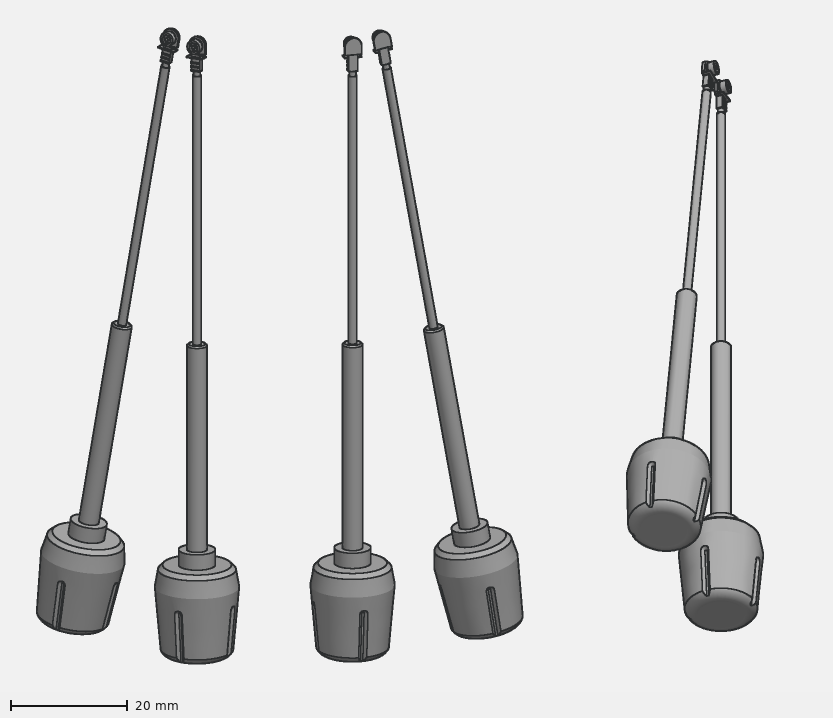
import cadquery as cq
import math


cap_floor_radius = 4.0
cap_base_radius = 6.25
cap_base_height = 1.2
cap_edge_radius = 5.65
cap_edge_height = 0.45
cap_widest_radius = 7.25
cap_widest_height = 12.4
cap_shoulder_radius = 6.7
cap_shoulder_height = 15.5
cap_shoulder_round = 0.8
collar_radius = 3.15
cap_top_height = cap_shoulder_height + cap_shoulder_round
collar_height = 2.75
collar_top = cap_top_height + collar_height

groove_count = 4
groove_width = 1.7
groove_floor_width = 0.4
groove_depth = 0.6
groove_clearance = 0.1
groove_top = 10.0

sleeve_diameter = 3.5
sleeve_top = 55.9
sleeve_chamfer = 0.3
cable_diameter = 1.5
cable_top = 104.0

neck_diameter = 1.2
neck_length = 0.9
tail_width = 1.6
tail_back = 0.5
tail_front = -0.7
crimp_bottom = cable_top + neck_length
wing_width = 3.0
wing_front = -1.1
wing_thickness = 0.15
head_diameter = 3.0
head_back = 0.6
head_front = -1.4
head_center = 109.4
head_bottom = head_center - head_diameter / 2
wing_center = head_bottom - 0.5
waist_diameter = 2.0
waist_back = 0.05
waist_front = -0.2
barrel_diameter = 2.4
socket_diameter = 1.6
socket_depth = 0.7
contact_diameter = 0.6
crimp_step = 0.15
crimp_height = 0.2
crimp_spacing = 0.7
crimp_count = 3

lean_angle = 10
lean_offset = (-24.13, 0, 2.34)


def box_between(width, back, front, bottom, top):
    """A block centred on X, from y = front to y = back and from z = bottom to z = top."""
    return (
        cq.Workplane("XY")
        .box(width, back - front, top - bottom)
        .translate((0, (back + front) / 2, (bottom + top) / 2))
    )


def disc_along_y(diameter, back, front):
    """A round disc on the axis of the connector head, from y = back to y = front."""
    return cq.Workplane("XZ", origin=(0, back, head_center)).circle(diameter / 2).extrude(back - front)


def make_groove():
    """One round-topped cutter with sloping sides, lying along the tapered wall on the -Y side."""
    wall_slope = math.atan2(cap_widest_radius - cap_base_radius, cap_widest_height - cap_base_height)
    wall_plane = cq.Plane(
        origin=(0, -cap_base_radius - groove_clearance, cap_base_height),
        xDir=(1, 0, 0),
        normal=(0, -math.cos(wall_slope), -math.sin(wall_slope)),
    )
    cut_depth = groove_depth + groove_clearance
    side_slope = math.degrees(math.atan2((groove_width - groove_floor_width) / 2, cut_depth))
    half_width = groove_width / 2
    round_center = groove_top - cap_base_height - half_width
    return (
        cq.Workplane(wall_plane)
        .moveTo(-half_width, -2 * cap_base_height)
        .lineTo(half_width, -2 * cap_base_height)
        .lineTo(half_width, round_center)
        .threePointArc((0, round_center + half_width), (-half_width, round_center))
        .close()
        .extrude(-cut_depth, taper=side_slope)
    )


def make_antenna():
    """Cap, sleeve and cable turned about Z as one body, with the grooves cut in the cap."""
    sleeve_radius = sleeve_diameter / 2
    cable_radius = cable_diameter / 2
    antenna = (
        cq.Workplane("XZ")
        .lineTo(cap_floor_radius, 0)
        .threePointArc((cap_edge_radius, cap_edge_height), (cap_base_radius, cap_base_height))
        .lineTo(cap_widest_radius, cap_widest_height)
        .lineTo(cap_shoulder_radius, cap_shoulder_height)
        .lineTo(cap_shoulder_radius - cap_shoulder_round, cap_top_height)
        .lineTo(collar_radius, cap_top_height)
        .lineTo(collar_radius, collar_top)
        .lineTo(sleeve_radius, collar_top)
        .lineTo(sleeve_radius, sleeve_top - sleeve_chamfer)
        .lineTo(sleeve_radius - sleeve_chamfer, sleeve_top)
        .lineTo(cable_radius, sleeve_top)
        .lineTo(cable_radius, cable_top)
        .lineTo(0, cable_top)
        .close()
        .revolve(360, (0, 0, 0), (0, 1, 0))
    )
    groove = make_groove()
    for i in range(groove_count):
        antenna = antenna.cut(groove.rotate((0, 0, 0), (0, 0, 1), i * 360 / groove_count))
    return antenna


def make_connector():
    """Round head, crimp wing, ribbed tail and neck as one body standing on the cable end."""
    neck = cq.Workplane("XY", origin=(0, 0, cable_top)).circle(neck_diameter / 2).extrude(neck_length)
    tail = box_between(tail_width, tail_back, tail_front + crimp_step, crimp_bottom, head_bottom)
    for i in range(crimp_count):
        rib_bottom = crimp_bottom + i * crimp_spacing
        rib = box_between(tail_width, tail_back, tail_front, rib_bottom, rib_bottom + crimp_height)
        tail = tail.union(rib)
    wing_bottom = wing_center - wing_thickness / 2
    wing = box_between(wing_width, tail_back, wing_front, wing_bottom, wing_bottom + wing_thickness)
    back_plate = disc_along_y(head_diameter, head_back, waist_back).union(
        box_between(head_diameter, head_back, waist_back, head_bottom, head_center)
    )
    waist = disc_along_y(waist_diameter, waist_back, waist_front)
    barrel = disc_along_y(barrel_diameter, waist_front, head_front)
    socket = disc_along_y(socket_diameter, head_front + socket_depth, head_front)
    contact = disc_along_y(contact_diameter, head_front + socket_depth, head_front)
    head = back_plate.union(waist).union(barrel).cut(socket).union(contact)
    return neck.union(tail).union(wing).union(head)


def lean(body):
    """Move a body from the upright unit to the leaning one."""
    return body.rotate((0, 0, 0), (0, 1, 0), lean_angle).translate(lean_offset)


antenna = make_antenna()
connector = make_connector()
bodies = []
for part in (antenna, connector):
    bodies.append(part.solids().val())
    bodies.append(lean(part).solids().val())

result = cq.Compound.makeCompound(bodies)